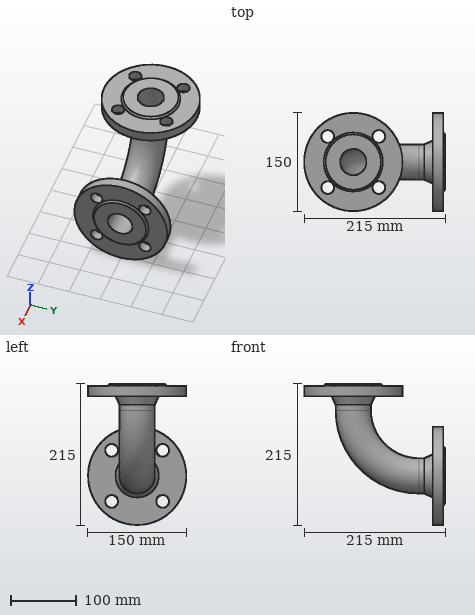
import cadquery as cq

pipe_diameter = 54.0
bore_diameter = 40.0
bend_radius = 100.0

flange_diameter = 150.0
flange_thickness = 16.0
face_height = 3.0
face_diameter = 90.0
neck_diameter = 66.0
neck_taper_length = 13.0
neck_straight_length = 8.0
flange_length = face_height + flange_thickness + neck_taper_length + neck_straight_length

bolt_hole_diameter = 19.0
bolt_circle_diameter = 110.0
bolt_count = 4
first_bolt_angle = 45.0


def make_flange():
    """Flange on the Z axis: pipe end at Z = 0, sealing face at Z = flange_length."""
    pipe_radius = pipe_diameter / 2
    neck_radius = neck_diameter / 2
    flange_radius = flange_diameter / 2
    face_base_radius = face_diameter / 2
    face_top_radius = face_base_radius - face_height

    taper_start = neck_straight_length
    flange_back = taper_start + neck_taper_length
    flange_front = flange_back + flange_thickness

    profile = (
        cq.Workplane("XZ")
        .polyline([
            (0, 0),
            (pipe_radius, 0),
            (pipe_radius, taper_start),
            (neck_radius, flange_back),
            (flange_radius, flange_back),
            (flange_radius, flange_front),
            (face_base_radius, flange_front),
            (face_top_radius, flange_length),
            (0, flange_length),
        ])
        .close()
    )
    body = profile.revolve(360, (0, 0, 0), (0, 1, 0))

    bore = cq.Workplane("XY").circle(bore_diameter / 2).extrude(flange_length)
    bolt_holes = (
        cq.Workplane("XY", origin=(0, 0, flange_back))
        .polarArray(bolt_circle_diameter / 2, first_bolt_angle, 360, bolt_count)
        .circle(bolt_hole_diameter / 2)
        .extrude(flange_thickness)
    )
    return body.cut(bore).cut(bolt_holes)


def make_elbow():
    """Quarter bend from the origin (axis along Z) to (bend_radius, 0, -bend_radius) (axis along X)."""
    return (
        cq.Workplane("XY")
        .circle(pipe_diameter / 2)
        .circle(bore_diameter / 2)
        .revolve(90, (bend_radius, 0, 0), (bend_radius, -1, 0))
    )


elbow = make_elbow()
top_flange = make_flange()
side_flange = (
    make_flange()
    .rotate((0, 0, 0), (0, 1, 0), 90)
    .translate((bend_radius, 0, -bend_radius))
)

result = elbow.union(top_flange).union(side_flange)